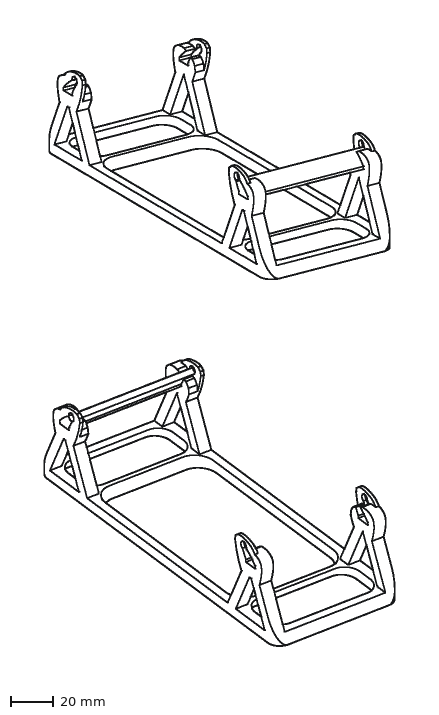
import cadquery as cq

length = 191.5
width = 72.5
base_height = 5.7
corner_radius = 6.9
half_length = length / 2
half_width = width / 2
clear_height = 76.6

centre_rail_width = 4.8
centre_opening_width = width - 2 * centre_rail_width
centre_opening_radius = 10.0
centre_opening_half_top = 59.2
end_rail_width = 5.7
end_opening_width = width - 2 * end_rail_width
end_opening_radius = 8.0
end_opening_inner_x = 62.0
end_opening_outer_x = 88.1

lean = 0.47
bracket_thickness = 6.9
cheek_thickness = 2.0
leg_inner_x = 53.8
shoulder_inner_z = 29.3
shoulder_outer_z = 29.0
inner_shoulder = (leg_inner_x + lean * shoulder_inner_z, shoulder_inner_z)
outer_shoulder = (half_length - lean * shoulder_outer_z, shoulder_outer_z)
inner_y = bracket_thickness - half_width
mouth_depth = bracket_thickness - cheek_thickness
window_half_base = 11.7
bracket_centre_x = (leg_inner_x + half_length) / 2
window_height = window_half_base / lean

nose_low = (62.5, 44.6)
nose_mid = (64.2, 37.2)
nose_bevel_start = (62.8, 47.0)
nose_bevel_end = (64.7, 48.5)
brow_points = [(67.5, 48.8), (71.6, 48.3), (75.7, 46.7)]
brow_end = (78.3, 44.0)
lobe_lip = (74.5, 44.0)
lobe_points = [brow_end, (80.8, 43.3), (83.1, 41.4), (83.9, 38.3), (83.1, 32.2)]

jaw_points = [(65.0, 34.9), (65.5, 38.1), (66.5, 39.7), (67.6, 40.8), (69.2, 41.2)]
lobe_tip = (72.8, 43.1)
mouth_left_x = 57.5

seat_x = 69.3
seat_z = 44.5
seat_radius = 2.1
socket_floor_z = 36.2
socket_inner_x = 71.3
socket_outer_x = 78.7
socket_inner_step_z = 37.5
socket_outer_step_z = 37.7
socket_inner_top = (68.4, 42.7)
socket_outer_top = (70.9, 44.5)
socket_outer_bulge = (75.0, 41.4)


def side_plane(y):
    """Workplane in X and Z at the given Y; extruding from it goes toward -Y."""
    return cq.Workplane("XZ", origin=(0, y, 0))


def round_corners(block, radius):
    """Round the rising edges of an opening, which lean with its end walls."""
    return block.edges("not(#Z or |Y)").fillet(radius)


def centre_opening():
    """Middle opening, with end walls that lean like the legs and rounded corners."""
    half_floor = centre_opening_half_top - lean * base_height
    block = (
        side_plane(centre_opening_width / 2)
        .moveTo(-half_floor, 0)
        .lineTo(half_floor, 0)
        .lineTo(centre_opening_half_top, base_height)
        .lineTo(-centre_opening_half_top, base_height)
        .close()
        .extrude(centre_opening_width)
    )
    return round_corners(block, centre_opening_radius)


def end_opening():
    """Rounded opening under the +X brackets, wider at the floor so its end walls follow the legs."""
    floor_spread = lean * base_height
    block = (
        side_plane(end_opening_width / 2)
        .moveTo(end_opening_inner_x - floor_spread, 0)
        .lineTo(end_opening_outer_x + floor_spread, 0)
        .lineTo(end_opening_outer_x, base_height)
        .lineTo(end_opening_inner_x, base_height)
        .close()
        .extrude(end_opening_width)
    )
    return round_corners(block, end_opening_radius)


def base():
    """Flat ladder frame with leaning ends."""
    half_top = half_length - lean * base_height
    plate = (
        side_plane(half_width)
        .moveTo(-half_length, 0)
        .lineTo(half_length, 0)
        .lineTo(half_top, base_height)
        .lineTo(-half_top, base_height)
        .close()
        .extrude(width)
    )
    return plate.cut(centre_opening()).cut(end_opening()).cut(end_opening().mirror("YZ"))


def bracket_body():
    """A-frame legs and lobe at the +X, -Y corner, from the top of the base upward."""
    body = (
        side_plane(inner_y)
        .moveTo(leg_inner_x + lean * base_height, base_height)
        .lineTo(*inner_shoulder)
        .threePointArc(nose_mid, nose_low)
        .lineTo(*lobe_lip)
        .spline(lobe_points + [outer_shoulder], includeCurrent=True)
        .lineTo(half_length - lean * base_height, base_height)
        .close()
        .extrude(bracket_thickness)
    )
    window = (
        side_plane(inner_y)
        .moveTo(bracket_centre_x - window_half_base, base_height)
        .lineTo(bracket_centre_x + window_half_base, base_height)
        .lineTo(bracket_centre_x, base_height + window_height)
        .close()
        .extrude(bracket_thickness)
    )
    return body.cut(window)


def cheek():
    """Thin outer plate that carries the nose and brow above the mouth."""
    return (
        side_plane(inner_y - mouth_depth)
        .moveTo(*inner_shoulder)
        .threePointArc(nose_mid, nose_low)
        .lineTo(*nose_bevel_start)
        .lineTo(*nose_bevel_end)
        .spline(brow_points + [brow_end], includeCurrent=True)
        .lineTo(*outer_shoulder)
        .close()
        .extrude(cheek_thickness)
    )


def mouth():
    """Space above the jaw facets and the lobe."""
    outline = jaw_points + [lobe_tip, lobe_lip]
    outline += [(lobe_lip[0], clear_height), (mouth_left_x, clear_height)]
    outline += [(mouth_left_x, jaw_points[0][1])]
    return side_plane(inner_y).polyline(outline).close().extrude(mouth_depth)


def rod_seat():
    """Round seat across the full width."""
    return side_plane(half_width).center(seat_x, seat_z).circle(seat_radius).extrude(width)


def socket():
    """Tapered socket below the seat, across the full width."""
    return (
        side_plane(half_width)
        .moveTo(socket_inner_x, socket_floor_z)
        .lineTo(socket_outer_x, socket_floor_z)
        .lineTo(socket_outer_x, socket_outer_step_z)
        .threePointArc(socket_outer_bulge, socket_outer_top)
        .lineTo(seat_x, seat_z)
        .lineTo(*socket_inner_top)
        .lineTo(socket_inner_x, socket_inner_step_z)
        .close()
        .extrude(width)
    )


def front_bracket():
    """Bracket at the +X, -Y corner, with its cheek on the outside."""
    bracket = bracket_body().cut(mouth()).union(cheek())
    return bracket.cut(rod_seat()).cut(socket())


def build_frame():
    """Base with four mirrored brackets, trimmed to rounded upright corners."""
    front = front_bracket()
    frame = base()
    for bracket in (front, front.mirror("XZ")):
        frame = frame.union(bracket).union(bracket.mirror("YZ"))
    rounded_envelope = (
        cq.Workplane("XY").rect(length, width).extrude(clear_height).edges("|Z").fillet(corner_radius)
    )
    return frame.intersect(rounded_envelope)


def build_cross_bar():
    """Bar that fills the +X sockets, hollowed along its top by the rod seat."""
    return socket().cut(rod_seat())


frame = build_frame()
cross_bar = build_cross_bar()

result = cq.Compound.makeCompound([frame.val(), cross_bar.val()])